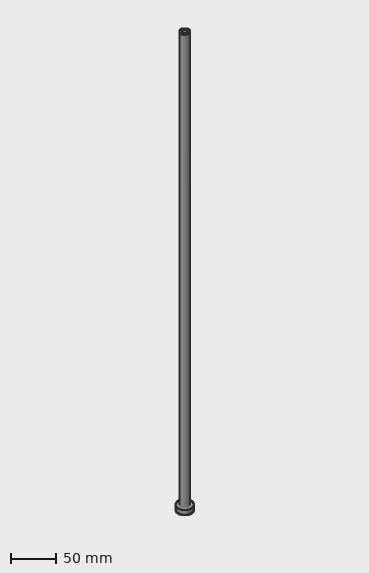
import cadquery as cq

shaft_length = 650.0
head_height = 7.0
head_diameter = 20.0
shaft_diameter = 12.0
bore_diameter = 6.5
neck_fillet_radius = 0.8

overall_length = head_height + shaft_length
head_radius = head_diameter / 2
shaft_radius = shaft_diameter / 2
bore_radius = bore_diameter / 2


def make_sleeve():
    """Revolve the wall section about Z; local x is the radius and local y the height."""
    section = (
        cq.Workplane("XZ")
        .moveTo(bore_radius, 0)
        .lineTo(head_radius, 0)
        .lineTo(head_radius, head_height)
        .lineTo(shaft_radius + neck_fillet_radius, head_height)
        .radiusArc((shaft_radius, head_height + neck_fillet_radius), neck_fillet_radius)
        .lineTo(shaft_radius, overall_length)
        .lineTo(bore_radius, overall_length)
        .close()
    )
    return section.revolve(360, (0, 0), (0, 1))


result = make_sleeve()